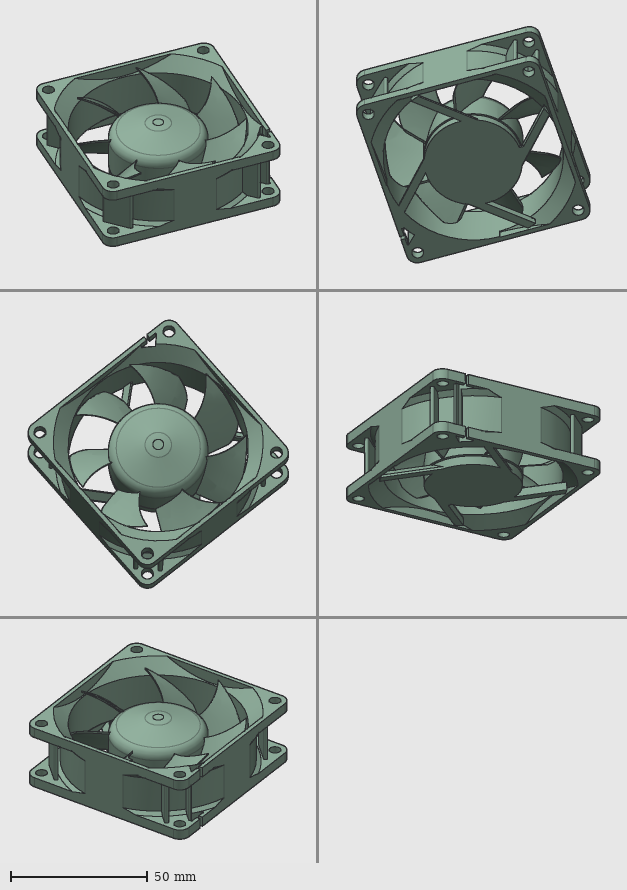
import cadquery as cq
import math

side = 70.0
height = 25.4
half_side = side / 2
flange_thickness = 4.0
corner_radius = 4.0
hole_pitch = 61.5
hole_diameter = 4.3

bore_radius = 33.0
duct_outer_radius = 36.0
flare_mouth_radius = 38.4
flare_half_width = 33.3
inlet_flare_depth = 4.9
outlet_flare_depth = 3.9
skirt_radius = 37.7
inlet_skirt_height = 2.05
outlet_skirt_height = 1.15

rib_thickness = 1.6
radial_rib_tip = 41.4
radial_rib_root = 34.5
radial_rib_offset = 4.5
cross_rib_distance = 39.0
cross_rib_half_length = 5.1

wire_slot_x = 23.0
wire_slot_width = 1.35
wire_pocket_y = 33.4
wire_pocket_right = 26.5
wire_pocket_left = 19.3
wire_pocket_side = 0.5
wire_pocket_depth = 5.0

base_height = 3.5
base_radius = 18.0
strut_count = 4
strut_angle = 42.0
strut_inner = 13.9
strut_ridge = 14.4
strut_outer = 16.9
strut_outer_height = 1.0
strut_inner_height = 3.2
base_tab_left = -1.0
base_tab_end = -19.6
base_tab_width = 2.5
base_tab_length = 10.0
strut_length = 34.0

hub_radius = 18.3
hub_bottom = 4.0
hub_top = 23.15
cone_angle = math.radians(16.1)
crown_radius = 4.85
shaft_radius = 2.0
shoulder_radius = 4.0
blade_count = 7
blade_tip_radius = 32.4
blade_thickness = 1.0
blade_leading_thickness = 0.4
blade_bottom = 4.2
blade_top = 24.2

inner_section_y = 14.0
inner_section = ((-9.0, 25.7), (-1.0, 14.0), (7.0, 1.8))
outer_section_y = 33.0
outer_section = ((-24.0, 26.6), (-7.0, 17.0), (7.0, 2.2))

outline_start_y = 14.5
outline_end_y = 33.0
leading_start_x = -3.8
leading_root = (-4.6, 16.8)
leading_middle = (-9.2, 23.3)
leading_tip = (-16.9, 28.1)
trailing_root_x = 5.4
trailing_corner_start = (5.6, 25.5)
trailing_corner_middle = (3.6, 30.0)
trailing_corner_end_x = 0.0

shaft_bottom = 1.0


def cone_frustum(bottom_radius, top_radius, bottom_z, frustum_height):
    return cq.Workplane(cq.Solid.makeCone(
        bottom_radius, top_radius, frustum_height, pnt=cq.Vector(0, 0, bottom_z)))


def square_block(width, bottom_z, block_height):
    return cq.Workplane().workplane(offset=bottom_z).rect(width, width).extrude(block_height)


def make_flange(bottom_z):
    return square_block(side, bottom_z, flange_thickness).edges("|Z").fillet(corner_radius)


def make_duct():
    """Round duct with flared skirts under both flanges, clipped by the square frame."""
    duct = cq.Workplane().circle(duct_outer_radius).extrude(height)
    inlet_skirt = cone_frustum(duct_outer_radius, skirt_radius,
                               height - flange_thickness - inlet_skirt_height, inlet_skirt_height)
    outlet_skirt = cone_frustum(skirt_radius, duct_outer_radius,
                                flange_thickness, outlet_skirt_height)
    return duct.union(inlet_skirt).union(outlet_skirt).intersect(square_block(side, 0, height))


def make_rib(centre_x, centre_y, length, angle):
    return (cq.Workplane().workplane(offset=flange_thickness / 2)
            .center(centre_x, centre_y).slot2D(length, rib_thickness, angle)
            .extrude(height - flange_thickness))


def make_ribs():
    """Two radial ribs at the corners on the X = Y diagonal, one cross rib at the others."""
    ribs = []
    radial_length = radial_rib_tip - radial_rib_root + rib_thickness
    radial_centre = (radial_rib_tip + radial_rib_root) / 2
    cross_length = 2 * cross_rib_half_length + rib_thickness
    for corner_angle in (45, 225):
        for offset in (-radial_rib_offset, radial_rib_offset):
            rib = make_rib(radial_centre, offset, radial_length, 0)
            ribs.append(rib.rotate((0, 0, 0), (0, 0, 1), corner_angle))
    for corner_angle in (135, 315):
        rib = make_rib(cross_rib_distance, 0, cross_length, 90)
        ribs.append(rib.rotate((0, 0, 0), (0, 0, 1), corner_angle))
    return ribs


def make_air_passage():
    """Bore with a full inlet flare, and an outlet flare left out of the +X +Y quadrant."""
    bore = cq.Workplane().circle(bore_radius).extrude(height)
    square = square_block(2 * flare_half_width, 0, height)
    inlet = cone_frustum(bore_radius, flare_mouth_radius,
                         height - inlet_flare_depth, inlet_flare_depth)
    outlet = cone_frustum(flare_mouth_radius, bore_radius, 0, outlet_flare_depth)
    plain_quadrant = cq.Workplane().rect(side, side, centered=False).extrude(height)
    return bore.union(inlet.intersect(square)).union(outlet.intersect(square).cut(plain_quadrant))


def make_wire_outlet():
    """Narrow slot through the edge, opening into a pocket that stops at the duct skirt."""
    slot = (cq.Workplane().center(wire_slot_x, half_side)
            .rect(wire_slot_width, 2 * (half_side - wire_pocket_y)).extrude(height))
    pocket_bottom_y = wire_pocket_y - wire_pocket_side - wire_pocket_depth
    pocket = (cq.Workplane()
              .moveTo(wire_pocket_left, wire_pocket_y)
              .lineTo(wire_pocket_right, wire_pocket_y)
              .lineTo(wire_pocket_right, wire_pocket_y - wire_pocket_side)
              .lineTo(wire_pocket_right - wire_pocket_depth, pocket_bottom_y)
              .lineTo(wire_pocket_left, pocket_bottom_y)
              .close().extrude(height))
    return slot.union(pocket.cut(cq.Workplane().circle(skirt_radius).extrude(height)))


def make_strut(index):
    """Guide-vane strut whose top slopes down away from the axis."""
    strut = (cq.Workplane("YZ")
             .moveTo(strut_inner, 0)
             .lineTo(strut_outer, 0)
             .lineTo(strut_outer, strut_outer_height)
             .lineTo(strut_ridge, base_height)
             .lineTo(strut_inner, strut_inner_height)
             .close().extrude(strut_length))
    mid_wall_radius = (bore_radius + duct_outer_radius) / 2
    strut = strut.intersect(cq.Workplane().circle(mid_wall_radius).extrude(base_height))
    return strut.rotate((0, 0, 0), (0, 0, 1), strut_angle + index * 360 / strut_count)


def make_base_tab():
    """Low tab that fills the corner between the base and the -Y strut."""
    return (cq.Workplane().moveTo(base_tab_left, base_tab_end)
            .rect(base_tab_width, base_tab_length, centered=False)
            .extrude(strut_outer_height))


def make_housing():
    housing = make_duct().union(make_flange(0)).union(make_flange(height - flange_thickness))
    for rib in make_ribs():
        housing = housing.union(rib)
    housing = housing.cut(make_air_passage())
    housing = housing.cut(
        cq.Workplane().rect(hole_pitch, hole_pitch, forConstruction=True)
        .vertices().circle(hole_diameter / 2).extrude(height))
    housing = housing.cut(make_wire_outlet())
    housing = housing.union(cq.Workplane().circle(base_radius).extrude(base_height))
    housing = housing.union(make_base_tab())
    for index in range(strut_count):
        housing = housing.union(make_strut(index))
    return housing


def make_hub():
    """Hub with a flat centre, a rounded crown, a conical top and a rounded shoulder."""
    crown_drop = (crown_radius - shaft_radius) * math.tan(cone_angle / 2)
    crown_z = hub_top - crown_drop
    shoulder_centre_r = hub_radius - shoulder_radius
    cone_edge_r = shoulder_centre_r + shoulder_radius * math.sin(cone_angle)
    cone_edge_z = crown_z - (cone_edge_r - crown_radius) * math.tan(cone_angle)
    shoulder_z = cone_edge_z - shoulder_radius * math.cos(cone_angle)
    return (cq.Workplane("XZ")
            .moveTo(0, hub_bottom)
            .lineTo(hub_radius, hub_bottom)
            .lineTo(hub_radius, shoulder_z)
            .tangentArcPoint((cone_edge_r, cone_edge_z), relative=False)
            .lineTo(crown_radius, crown_z)
            .tangentArcPoint((shaft_radius, hub_top), relative=False)
            .lineTo(0, hub_top)
            .close().revolve(360, (0, 0, 0), (0, 1, 0)))


def sheet_section(distance, leading, middle, trailing):
    """Closed cambered strip in the plane Y = distance, given (x, z) points on its top."""
    def lowered(point, thickness):
        return (point[0], point[1] - thickness)
    return (cq.Workplane("XZ", origin=(0, distance, 0))
            .moveTo(*leading)
            .threePointArc(middle, trailing)
            .lineTo(*lowered(trailing, blade_thickness))
            .threePointArc(lowered(middle, blade_thickness),
                           lowered(leading, blade_leading_thickness))
            .close().wires().val())


def make_blade():
    """Cambered sheet between two sections, trimmed to the blade outline seen along Z."""
    sheet = cq.Workplane(cq.Solid.makeLoft([
        sheet_section(inner_section_y, *inner_section),
        sheet_section(outer_section_y, *outer_section),
    ], True))
    outline = (cq.Workplane().workplane(offset=blade_bottom)
               .moveTo(leading_start_x, outline_start_y)
               .lineTo(*leading_root)
               .threePointArc(leading_middle, leading_tip)
               .lineTo(leading_tip[0], outline_end_y)
               .lineTo(trailing_corner_end_x, outline_end_y)
               .threePointArc(trailing_corner_middle, trailing_corner_start)
               .lineTo(trailing_root_x, outline_start_y)
               .close().extrude(blade_top - blade_bottom))
    envelope = cq.Workplane().circle(blade_tip_radius).extrude(height)
    return sheet.intersect(outline).intersect(envelope)


def make_shaft():
    return (cq.Workplane().workplane(offset=shaft_bottom)
            .circle(shaft_radius).extrude(hub_top - shaft_bottom))


def make_impeller():
    impeller = make_hub()
    blade = make_blade()
    for index in range(blade_count):
        impeller = impeller.union(
            blade.rotate((0, 0, 0), (0, 0, 1), index * 360 / blade_count))
    return impeller


shaft = make_shaft()
housing = make_housing().cut(shaft)
impeller = make_impeller().cut(shaft)

result = cq.Compound.makeCompound(
    [body.solids().val() for body in (housing, impeller, shaft)])